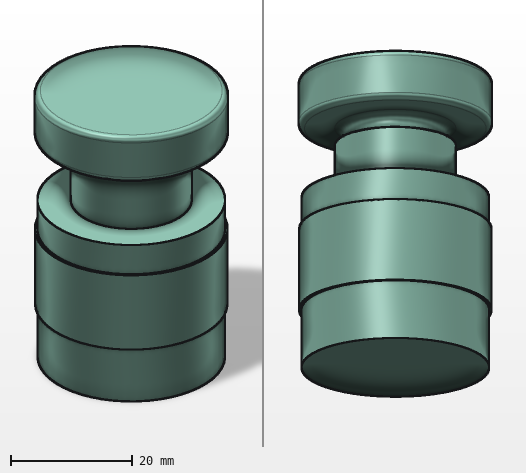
import cadquery as cq

total_height = 50.0
housing_height = 29.5
collar_bottom = 10.0
collar_height = 14.0

housing_radius = 15.5
collar_radius = 15.9

head_radius = 16.0
head_height = 8.5
head_edge_radius = 1.0
head_bottom = total_height - head_height

stem_radius = 10.0
stem_insertion = 2 * stem_radius
stem_bottom = housing_height - stem_insertion
groove_radius = 1.5
groove_center = head_bottom - groove_radius
groove_bottom = groove_center - groove_radius
neck_radius = stem_radius - groove_radius


def cylinder(radius, bottom, height):
    """Upright cylinder centred on the Z axis."""
    return cq.Workplane("XY").workplane(offset=bottom).circle(radius).extrude(height)


def make_housing():
    """Collared cylinder with a blind bore that fits the stem."""
    barrel = cylinder(housing_radius, 0, housing_height)
    collar = cylinder(collar_radius, collar_bottom, collar_height)
    bore = cylinder(stem_radius, stem_bottom, stem_insertion)
    return barrel.union(collar).cut(bore)


def make_stem():
    """Revolved stem; two quarter arcs meet at the neck to form the groove."""
    profile = (
        cq.Workplane("XZ")
        .moveTo(0, stem_bottom)
        .lineTo(stem_radius, stem_bottom)
        .lineTo(stem_radius, groove_bottom)
        .radiusArc((neck_radius, groove_center), groove_radius)
        .radiusArc((stem_radius, head_bottom), groove_radius)
        .lineTo(0, head_bottom)
        .close()
    )
    return profile.revolve(360, (0, 0, 0), (0, 1, 0))


def make_knob():
    """Stem and rounded head in one piece."""
    head = cylinder(head_radius, head_bottom, head_height).edges().fillet(head_edge_radius)
    return make_stem().union(head)


housing = make_housing()
knob = make_knob()

result = cq.Compound.makeCompound([housing.val(), knob.val()])